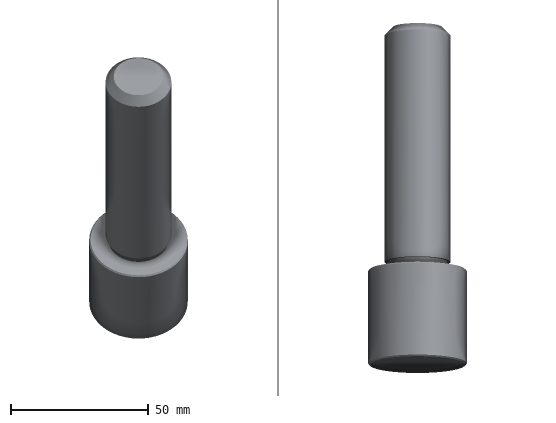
import cadquery as cq

total_length = 125.0
head_diameter = 36.0
head_height = 35.0
head_chamfer = 0.5
neck_diameter = 22.0
neck_height = 3.0
shank_diameter = 24.0
tip_chamfer = 3.0

shank_base = head_height + neck_height
shank_length = total_length - shank_base


def cylinder(diameter, height, base):
    """Upright cylinder on the Z axis, starting at height base."""
    return cq.Workplane("XY").workplane(offset=base).circle(diameter / 2).extrude(height)


head = cylinder(head_diameter, head_height, 0).edges().chamfer(head_chamfer)

neck = cylinder(neck_diameter, neck_height, head_height)

shank = cylinder(shank_diameter, shank_length, shank_base).faces(">Z").edges().chamfer(tip_chamfer)

result = head.union(neck).union(shank)